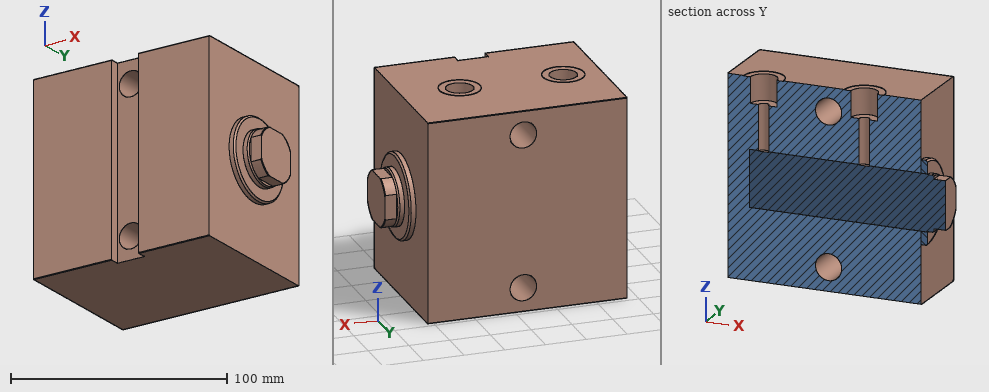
import cadquery as cq

overall_length = 110.0
housing_length = 97.8
housing_width = 75.0
housing_height = 100.0
edge_chamfer = 0.3

keyway_center_x = 50.9
keyway_width = 15.0
keyway_depth = 5.0
mounting_hole_diameter = 13.0
mounting_hole_spacing = 76.0

port_positions_x = (18.2, 69.0)
spotface_diameter = 20.0
spotface_depth = 0.2
port_diameter = 13.2
port_depth = 13.2
passage_diameter = 5.1

rod_radius = 14.1
rod_back_x = 11.0
collar_projection = 6.4
collar_chamfer = 0.9
rod_end_radius = 13.6
rod_end_chamfer = 0.3
wrench_flat_width = 24.4

ring_radius = 20.9
ring_thickness = 3.2
ring_chamfer = 0.9


def make_housing():
    half_width = housing_width / 2
    half_height = housing_height / 2
    body = cq.Workplane("XY").box(
        housing_length, housing_width, housing_height, centered=(False, True, True)
    )
    body = body.edges("|X").chamfer(edge_chamfer)

    keyway = cq.Workplane("XY").box(keyway_width, 2 * keyway_depth, housing_height)
    body = body.cut(keyway.translate((keyway_center_x, -half_width, 0)))

    mounting_holes = (
        cq.Workplane("XZ", origin=(keyway_center_x, half_width, 0))
        .pushPoints([(0, -mounting_hole_spacing / 2), (0, mounting_hole_spacing / 2)])
        .circle(mounting_hole_diameter / 2)
        .extrude(housing_width)
    )
    body = body.cut(mounting_holes)

    for port_x in port_positions_x:
        top = cq.Workplane("XY", origin=(port_x, 0, half_height))
        body = body.cut(top.circle(spotface_diameter / 2).extrude(-spotface_depth))
        body = body.cut(top.circle(port_diameter / 2).extrude(-port_depth))
        body = body.cut(top.circle(passage_diameter / 2).extrude(-half_height))

    bore = (
        cq.Workplane("YZ", origin=(rod_back_x, 0, 0))
        .circle(rod_radius)
        .extrude(housing_length - rod_back_x)
    )
    return body.cut(bore)


def make_guide_ring():
    ring_front_x = housing_length + ring_thickness
    return (
        cq.Workplane("XZ")
        .moveTo(housing_length, rod_radius)
        .lineTo(housing_length, ring_radius)
        .lineTo(ring_front_x - ring_chamfer, ring_radius)
        .lineTo(ring_front_x, ring_radius - ring_chamfer)
        .lineTo(ring_front_x, rod_radius)
        .close()
        .revolve(360, (0, 0, 0), (1, 0, 0))
    )


def make_rod():
    collar_front_x = housing_length + collar_projection
    rod = (
        cq.Workplane("XZ")
        .moveTo(rod_back_x, 0)
        .lineTo(rod_back_x, rod_radius)
        .lineTo(collar_front_x - collar_chamfer, rod_radius)
        .lineTo(collar_front_x, rod_end_radius)
        .lineTo(overall_length - rod_end_chamfer, rod_end_radius)
        .lineTo(overall_length, rod_end_radius - rod_end_chamfer)
        .lineTo(overall_length, 0)
        .close()
        .revolve(360, (0, 0, 0), (1, 0, 0))
    )
    wrench_flats = (
        cq.Workplane("YZ", origin=(collar_front_x, 0, 0))
        .rect(2 * ring_radius, 2 * ring_radius)
        .rect(wrench_flat_width, wrench_flat_width)
        .extrude(overall_length - collar_front_x)
    )
    return rod.cut(wrench_flats)


housing = make_housing()
guide_ring = make_guide_ring()
rod = make_rod()

result = cq.Compound.makeCompound([housing.val(), guide_ring.val(), rod.val()])